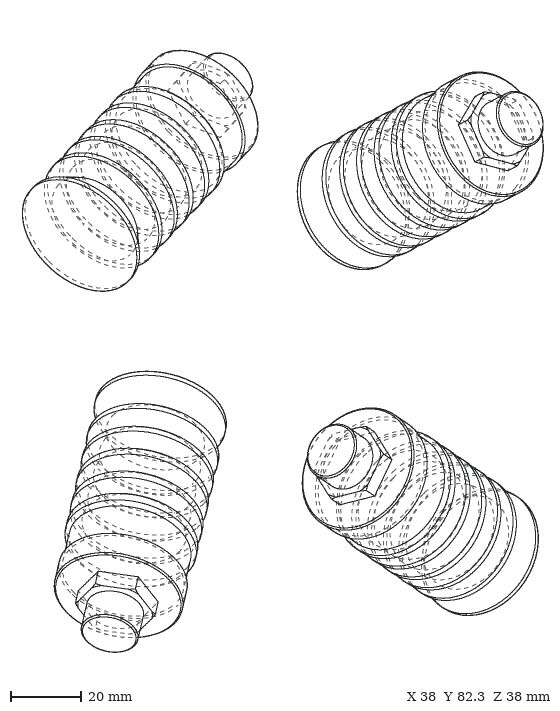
import cadquery as cq
import math


LENGTH = 82.3
LIP_WIDTH = 1.5
NECK_START = 49.2
COLLAR_START = 60.3
NUT_START = 68.0
STUD_START = 73.0

BELLOWS_DIAMETER = 38.0
NECK_DIAMETER = 35.3
COLLAR_DIAMETER = 37.2
STUD_DIAMETER = 16.5
EDGE_CHAMFER = 0.5

NUT_ACROSS_FLATS = 20.0
NUT_ACROSS_CORNERS = NUT_ACROSS_FLATS / math.cos(math.pi / 6)
NUT_CHAMFER_DIAMETER = 21.5
NUT_CHAMFER_ANGLE = math.radians(30)
NUT_CONE_MARGIN = 0.8

FOLDS = [
    (8.5, 14.2, 12.1, 13.9),
    (17.1, 14.65, 20.6, 22.4),
    (25.6, 14.8, 28.8, 31.0),
    (34.2, 14.9, 37.4, 39.7),
    (42.6, 15.1, 45.7, 48.15),
]


def cylinder(diameter, start, end):
    """Cylinder on the Y axis between two axial positions."""
    plane = cq.Plane(origin=(0, start, 0), xDir=(1, 0, 0), normal=(0, 1, 0))
    return cq.Workplane(plane).circle(diameter / 2).extrude(end - start)


def revolve_profile(points):
    """Revolve a closed (radius, Y) outline about the Y axis."""
    return cq.Workplane("XY").polyline(points).close().revolve(360, (0, 0, 0), (0, 1, 0))


def make_bellows():
    """Lip, folds and neck as one turned body."""
    rim = BELLOWS_DIAMETER / 2
    neck = NECK_DIAMETER / 2
    points = [(0, 0), (rim, 0), (rim, LIP_WIDTH)]
    for valley_y, valley_radius, rim_start, rim_end in FOLDS:
        points += [(valley_radius, valley_y), (rim, rim_start), (rim, rim_end)]
    points += [(neck, NECK_START), (neck, COLLAR_START), (0, COLLAR_START)]
    return revolve_profile(points)


def make_nut():
    """Hexagon whose outer corners are trimmed by a cone."""
    plane = cq.Plane(origin=(0, NUT_START, 0), xDir=(1, 0, 0), normal=(0, 1, 0))
    hexagon = cq.Workplane(plane).polygon(6, NUT_ACROSS_CORNERS).extrude(STUD_START - NUT_START)
    top_radius = NUT_CHAMFER_DIAMETER / 2
    base_radius = NUT_ACROSS_CORNERS / 2 + NUT_CONE_MARGIN
    cone_start = STUD_START - (base_radius - top_radius) * math.tan(NUT_CHAMFER_ANGLE)
    envelope = revolve_profile([
        (0, NUT_START),
        (base_radius, NUT_START),
        (base_radius, cone_start),
        (top_radius, STUD_START),
        (0, STUD_START),
    ])
    return hexagon.intersect(envelope)


collar = cylinder(COLLAR_DIAMETER, COLLAR_START, NUT_START).faces(">Y").chamfer(EDGE_CHAMFER)
stud = cylinder(STUD_DIAMETER, STUD_START, LENGTH).faces(">Y").chamfer(EDGE_CHAMFER)

result = make_bellows().union(collar).union(make_nut()).union(stud)